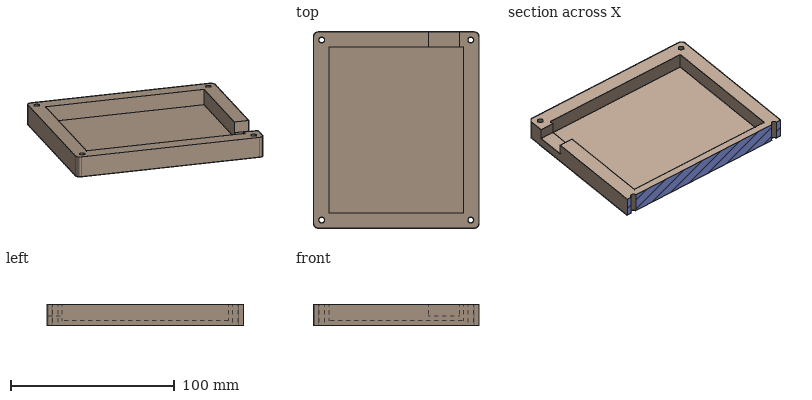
import cadquery as cq

width = 101.0
length = 120.0
height = 13.0
corner_radius = 3.0

pocket_width = 82.1
pocket_length = 101.5
floor_thickness = 3.0

notch_width = 18.7
notch_depth = 7.0
notch_right_inset = 12.0

hole_diameter = 3.4
hole_inset = 5.0


def box_from_floor(size_x, size_y, size_z, floor_z):
    """Box centred in X and Y whose underside lies at floor_z."""
    return cq.Workplane("XY", origin=(0, 0, floor_z)).box(
        size_x, size_y, size_z, centered=(True, True, False)
    )


block = box_from_floor(width, length, height, 0).edges("|Z").fillet(corner_radius)

pocket = box_from_floor(pocket_width, pocket_length, height - floor_thickness, floor_thickness)

wall_thickness = (length - pocket_length) / 2
notch_x = width / 2 - notch_right_inset - notch_width / 2
notch_y = length / 2 - wall_thickness / 2
notch = box_from_floor(notch_width, wall_thickness, notch_depth, height - notch_depth).translate(
    (notch_x, notch_y, 0)
)

holes = (
    cq.Workplane("XY")
    .rect(width - 2 * hole_inset, length - 2 * hole_inset, forConstruction=True)
    .vertices()
    .circle(hole_diameter / 2)
    .extrude(height)
)

result = block.cut(pocket).cut(notch).cut(holes)